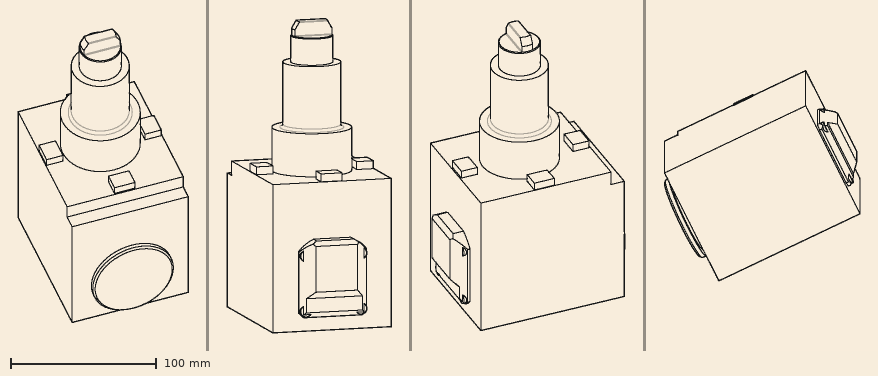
import cadquery as cq
import math

housing_left = -48.0
housing_right = 60.0
housing_width = 85.0
housing_height = 103.5
step_width = 10.0
step_depth = 10.0

pad_length = 15.0
pad_width = 12.0
pad_height = 5.5
pad_side_inset = 0.5
pad_end_inset = 1.0

collar_diameter = 55.0
collar_top = 133.5
shaft_diameter = 40.0
shaft_top = 179.0
shaft_root_fillet = 2.0
neck_diameter = 29.0
neck_top = 197.9
neck_chamfer = 0.6

tang_thickness = 8.0
tang_diameter = neck_diameter - 2 * neck_chamfer
tang_top = 208.0
tang_cone_height = 5.5
tang_cone_angle = 30.0
tang_fillet = 0.5

flange_center_z = 34.2
flange_hub_diameter = 49.0
flange_hub_length = 3.0
flange_diameter = 59.0
flange_length = 4.0
flange_chamfer = 1.3

cover_bottom = 9.7
cover_top = 64.0
cover_half_width = 24.25
cover_depth = 11.0
cover_rim = 1.75
cover_top_bevel = 3.2
cover_top_flat_half = 13.3
cover_shoulder_z = 55.8
cover_corner_mid = (19.3, 60.4)
cover_bottom_chamfer = 3.4
cover_ledge_depth = 5.9
cover_ledge_top = 23.75

boss_diameter = 8.0
boss_depth = 4.35
boss_half_spacing = 19.75
boss_heights = (14.6, 53.2)


def make_housing():
    """Rectangular housing with a step along its upper +X edge."""
    length = housing_right - housing_left
    block = cq.Workplane("XY").box(length, housing_width, housing_height, centered=(False, True, False))
    step = (
        cq.Workplane("XY")
        .box(step_width, housing_width, step_depth, centered=(False, True, False))
        .translate((length - step_width, 0, housing_height - step_depth))
    )
    return block.cut(step).translate((housing_left, 0, 0))


def make_pads():
    """Four raised pads, one along each edge of the housing's upper face."""
    side_y = housing_width / 2 - pad_side_inset - pad_width / 2
    left_x = housing_left + pad_end_inset + pad_width / 2
    right_x = housing_right - step_width - pad_end_inset - pad_width / 2
    top_face = cq.Workplane("XY").workplane(offset=housing_height)
    side_pads = top_face.pushPoints([(0, -side_y), (0, side_y)]).rect(pad_length, pad_width).extrude(pad_height)
    end_pads = top_face.pushPoints([(left_x, 0), (right_x, 0)]).rect(pad_width, pad_length).extrude(pad_height)
    return side_pads.union(end_pads)


def make_spindle():
    """Stepped round spindle, with a concave fillet where the shaft leaves the collar."""
    collar_radius = collar_diameter / 2
    shaft_radius = shaft_diameter / 2
    neck_radius = neck_diameter / 2
    return (
        cq.Workplane("XZ")
        .moveTo(0, housing_height)
        .lineTo(collar_radius, housing_height)
        .lineTo(collar_radius, collar_top)
        .lineTo(shaft_radius + shaft_root_fillet, collar_top)
        .radiusArc((shaft_radius, collar_top + shaft_root_fillet), shaft_root_fillet)
        .lineTo(shaft_radius, shaft_top)
        .lineTo(neck_radius, shaft_top)
        .lineTo(neck_radius, neck_top - neck_chamfer)
        .lineTo(neck_radius - neck_chamfer, neck_top)
        .lineTo(0, neck_top)
        .close()
        .revolve(360, (0, 0, 0), (0, 1, 0))
    )


def make_tang():
    """Drive tang: a slab with rounded long edges, trimmed by a cylinder with a conical tip."""
    half_thickness = tang_thickness / 2
    half_foot = half_thickness + tang_fillet
    half_crest = half_thickness - tang_fillet
    slab = (
        cq.Workplane("XZ")
        .moveTo(-half_foot, neck_top)
        .lineTo(half_foot, neck_top)
        .radiusArc((half_thickness, neck_top + tang_fillet), tang_fillet)
        .lineTo(half_thickness, tang_top - tang_fillet)
        .radiusArc((half_crest, tang_top), -tang_fillet)
        .lineTo(-half_crest, tang_top)
        .radiusArc((-half_thickness, tang_top - tang_fillet), -tang_fillet)
        .lineTo(-half_thickness, neck_top + tang_fillet)
        .radiusArc((-half_foot, neck_top), tang_fillet)
        .close()
        .extrude(tang_diameter / 2, both=True)
    )
    tip_radius = tang_diameter / 2 - tang_cone_height * math.tan(math.radians(tang_cone_angle))
    envelope = (
        cq.Workplane("XZ")
        .polyline([
            (0, neck_top),
            (tang_diameter / 2, neck_top),
            (tang_diameter / 2, tang_top - tang_cone_height),
            (tip_radius, tang_top),
            (0, tang_top),
        ])
        .close()
        .revolve(360, (0, 0, 0), (0, 1, 0))
    )
    return slab.intersect(envelope)


def make_flange():
    """Round flange on a short hub on the +X side of the housing."""
    hub = (
        cq.Workplane("YZ", origin=(housing_right, 0, flange_center_z))
        .circle(flange_hub_diameter / 2)
        .extrude(flange_hub_length)
    )
    disc = (
        cq.Workplane("YZ", origin=(housing_right + flange_hub_length, 0, flange_center_z))
        .circle(flange_diameter / 2)
        .extrude(flange_length)
        .faces(">X")
        .chamfer(flange_chamfer)
    )
    return hub.union(disc)


def make_cover():
    """Bevelled cover on the -X side of the housing, with a round boss in each corner."""
    outer_x = housing_left - cover_depth
    ledge_x = housing_left - cover_ledge_depth
    rim_x = housing_left - cover_rim
    corner_y, corner_z = cover_corner_mid

    outline = (
        cq.Workplane("YZ", origin=(outer_x, 0, 0))
        .moveTo(-cover_top_flat_half, cover_top)
        .lineTo(cover_top_flat_half, cover_top)
        .threePointArc((corner_y, corner_z), (cover_half_width, cover_shoulder_z))
        .lineTo(cover_half_width, cover_bottom + cover_bottom_chamfer)
        .lineTo(cover_half_width - cover_bottom_chamfer, cover_bottom)
        .lineTo(cover_bottom_chamfer - cover_half_width, cover_bottom)
        .lineTo(-cover_half_width, cover_bottom + cover_bottom_chamfer)
        .lineTo(-cover_half_width, cover_shoulder_z)
        .threePointArc((-corner_y, corner_z), (-cover_top_flat_half, cover_top))
        .close()
        .extrude(cover_depth)
    )

    face_half_width = cover_half_width - (cover_depth - cover_rim)
    plan = (
        cq.Workplane("XY")
        .polyline([
            (housing_left, -cover_half_width),
            (rim_x, -cover_half_width),
            (outer_x, -face_half_width),
            (outer_x, face_half_width),
            (rim_x, cover_half_width),
            (housing_left, cover_half_width),
        ])
        .close()
        .extrude(cover_top)
    )

    side_profile = (
        cq.Workplane("XZ")
        .polyline([
            (housing_left, cover_bottom),
            (rim_x, cover_bottom),
            (ledge_x, cover_bottom + cover_ledge_depth - cover_rim),
            (ledge_x, cover_ledge_top),
            (outer_x, cover_ledge_top + cover_depth - cover_ledge_depth),
            (outer_x, cover_top - cover_top_bevel),
            (outer_x + cover_top_bevel, cover_top),
            (housing_left, cover_top),
        ])
        .close()
        .extrude(cover_half_width, both=True)
    )

    boss_centers = [(y, z) for y in (-boss_half_spacing, boss_half_spacing) for z in boss_heights]
    bosses = (
        cq.Workplane("YZ", origin=(housing_left - boss_depth, 0, 0))
        .pushPoints(boss_centers)
        .circle(boss_diameter / 2)
        .extrude(boss_depth)
    )
    return outline.intersect(plan).intersect(side_profile).union(bosses.intersect(outline))


result = (
    make_housing()
    .union(make_pads())
    .union(make_spindle())
    .union(make_tang())
    .union(make_flange())
    .union(make_cover())
)